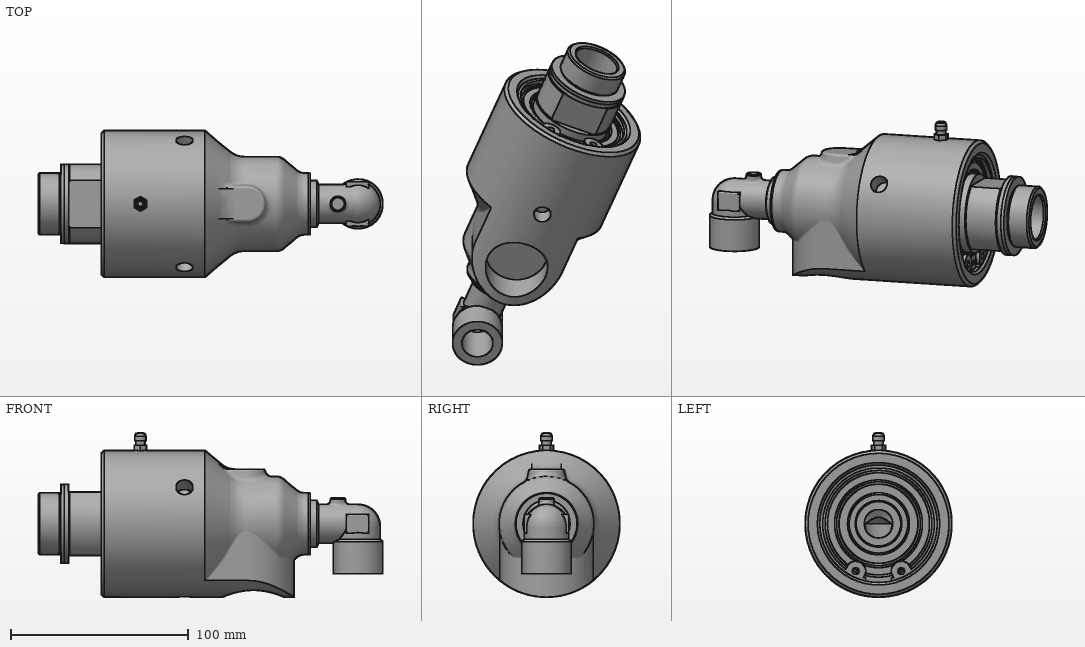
import cadquery as cq
import math


THREAD_D = 34.9
THREAD_END_X = 11.9
THREAD_CHAMFER = 1.0
NECK_D = 33.0
FLANGE_START_X = 12.9
FLANGE_STEP_X = 14.7
FLANGE_STEP_H = 0.1
SHAFT_D = 44.65
FLATS_START_X = 17.2
FLATS_END_X = 36.0
FLATS_WIDTH = 35.8
RELIEF_LENGTH = 0.6
RELIEF_DEPTH = 0.35
BORE_D = 16.0
SOCKET_D = 25.0
SOCKET_DEPTH = 30.0
SOCKET_CHAMFER = 0.6
SOCKET_CHAMFER_LENGTH = 1.0

BODY_R = 41.3
BODY_START_X = 35.4
BODY_CHAMFER = 1.7
BODY_END_X = 93.8
CONE_ANGLE = math.radians(40)
WAIST_R = 26.65
WAIST_END_X = 134.1
WAIST_BLEND_R = 12.5
SHOULDER_BLEND_R = 6.0
END_COLLAR_R = 17.5
END_COLLAR_X = 153.0
END_CHAMFER_LENGTH = 1.0
END_CHAMFER_HEIGHT = 0.35
STUB_R = 13.25
STUB_LENGTH = 3.6
STUB_CHAMFER_LENGTH = 1.1

CAVITY_R = 33.0
CAVITY_CHAMFER = 1.4
CAVITY_FLOOR_X = 39.3
SEAL_GAP_R = 24.7
SEAL_GAP_STEP_R = 23.6
SEAL_GAP_STEP_X = 40.0
SEAL_GAP_DEPTH = 1.5
FLOOR_GROOVE_INNER_R = 28.7
FLOOR_GROOVE_OUTER_R = 30.0
FLOOR_GROOVE_DEPTH = 0.5
RING_INNER_R = 31.4
RING_FRONT_X = 37.0
RING_GAP_WIDTH = 14.6
LUG_R = 5.6
LUG_Y = 12.8
LUG_Z = -26.6
LUG_HOLE_D = 3.72

PORT_X = 117.7
PORT_BOSS_R = 26.3
PORT_BOSS_START_X = 80.0
PORT_BOSS_FILLET = 1.2
PORT_HOLE_X = 121.0
PORT_HOLE_D = 34.9
PORT_HOLE_DEPTH = 20.0
PAD_TOP_Z = 30.75
PAD_HALF_WIDTH = 9.8
PAD_BASE_Z = 20.0
PAD_START_X = 96.0
PAD_FLAT_HALF_WIDTH = 8.4
PAD_RAMP_R = 11.0
PAD_DRAFT = 12.0
PAD_EDGE_FILLET = 1.5
PAD_BASE_FILLET = 3.6
RADIAL_HOLE_X = 82.3
RADIAL_HOLE_D = 9.5
RADIAL_HOLE_DEPTH = 11.0
RADIAL_HOLE_ANGLES = (30, 150, 270)

ELBOW_X = 179.86
TUBE_R = 11.0
ELBOW_R = 12.5
ELBOW_CENTER_Z = -1.5
OUTLET_R = 14.0
OUTLET_TOP_Z = -10.0
OUTLET_BOTTOM_Z = -28.1
OUTLET_CONE_HEIGHT = 1.3
OUTLET_BORE_D = 17.48
AXIAL_BORE_END_X = ELBOW_X - 5.0
DRILL_TIP_ANGLE = math.radians(59)
WRENCH_PAD_WIDTH = 12.6
WRENCH_PAD_HEIGHT = 10.5
WRENCH_PAD_Y = 12.55
WRENCH_PAD_FILLET = 0.6
PLUG_X = 168.5
PLUG_D = 8.6
PLUG_TOP_Z = 14.6
PLUG_CHAMFER = 0.7
PLUG_FOOT_FILLET = 2.1

NIPPLE_X = 57.5
NIPPLE_FOOT_Z = 38.0
HEX_WIDTH = 7.0
HEX_TOP_Z = 44.2
NIPPLE_NECK_D = 5.36
NIPPLE_HEAD_D = 6.5
NIPPLE_HEAD_Z = 46.6
NIPPLE_CROWN_Z = 49.2
NIPPLE_CROWN_TOP_Z = 50.8
NIPPLE_CROWN_TOP_D = 5.0
NIPPLE_TIP_D = 3.0
NIPPLE_TOP_Z = 51.29


def revolve_about_x(profile):
    """Full turn of an XY profile about the main axis."""
    return profile.close().revolve(360, (0, 0, 0), (1, 0, 0))


def cylinder_x(radius, start_x, end_x):
    """Solid cylinder on the main axis."""
    return cq.Workplane("YZ", origin=(start_x, 0, 0)).circle(radius).extrude(end_x - start_x)


def annulus_x(inner_radius, outer_radius, start_x, end_x):
    """Ring on the main axis."""
    outer = cylinder_x(outer_radius, start_x, end_x)
    return outer.cut(cylinder_x(inner_radius, start_x, end_x))


def cone_arc_offsets(blend_radius):
    """Axial and radial extent of an arc that turns from axial to the cone angle, and its midpoint."""
    half = CONE_ANGLE / 2
    full_run = blend_radius * math.sin(CONE_ANGLE)
    full_drop = blend_radius * (1 - math.cos(CONE_ANGLE))
    half_run = blend_radius * math.sin(half)
    half_drop = blend_radius * (1 - math.cos(half))
    return full_run, full_drop, half_run, half_drop


def make_shaft():
    """Rotor shaft with its threaded end, flange and two wrench flats between shallow reliefs."""
    thread_r = THREAD_D / 2
    neck_r = NECK_D / 2
    shaft_r = SHAFT_D / 2
    shaft = revolve_about_x(
        cq.Workplane("XY")
        .moveTo(0, 0)
        .lineTo(0, thread_r - THREAD_CHAMFER)
        .lineTo(THREAD_CHAMFER, thread_r)
        .lineTo(THREAD_END_X, thread_r)
        .lineTo(THREAD_END_X, neck_r)
        .lineTo(FLANGE_START_X, neck_r)
        .lineTo(FLANGE_START_X, shaft_r - FLANGE_STEP_H)
        .lineTo(FLANGE_STEP_X, shaft_r - FLANGE_STEP_H)
        .lineTo(FLANGE_STEP_X, shaft_r)
        .lineTo(BODY_END_X, shaft_r)
        .lineTo(BODY_END_X, 0)
    )
    for relief_x in (FLATS_START_X, FLATS_END_X - RELIEF_LENGTH):
        relief = annulus_x(shaft_r - RELIEF_DEPTH, SHAFT_D, relief_x, relief_x + RELIEF_LENGTH)
        shaft = shaft.cut(relief)
    flat_depth = shaft_r - FLATS_WIDTH / 2
    for side in (1, -1):
        flat_cut = cq.Workplane("XY").box(
            FLATS_END_X - FLATS_START_X, SHAFT_D, 2 * flat_depth
        ).translate(((FLATS_START_X + FLATS_END_X) / 2, 0, side * shaft_r))
        shaft = shaft.cut(flat_cut)
    return shaft


def make_housing():
    """Turned housing from the front face to the stub that carries the elbow."""
    run_1, drop_1, half_run_1, half_drop_1 = cone_arc_offsets(WAIST_BLEND_R)
    run_2, drop_2, half_run_2, half_drop_2 = cone_arc_offsets(SHOULDER_BLEND_R)
    slope = math.tan(CONE_ANGLE)
    cone_end_x = BODY_END_X + (BODY_R - WAIST_R - drop_1) / slope
    waist_start_x = cone_end_x + run_1
    shoulder_x = WAIST_END_X + run_2
    shoulder_r = WAIST_R - drop_2
    foot_r = END_COLLAR_R + drop_2
    foot_x = shoulder_x + (shoulder_r - foot_r) / slope
    collar_start_x = foot_x + run_2
    stub_end_x = END_COLLAR_X + STUB_LENGTH
    return revolve_about_x(
        cq.Workplane("XY")
        .moveTo(BODY_START_X, 0)
        .lineTo(BODY_START_X, BODY_R - BODY_CHAMFER)
        .lineTo(BODY_START_X + BODY_CHAMFER, BODY_R)
        .lineTo(BODY_END_X, BODY_R)
        .lineTo(cone_end_x, WAIST_R + drop_1)
        .threePointArc(
            (waist_start_x - half_run_1, WAIST_R + half_drop_1), (waist_start_x, WAIST_R)
        )
        .lineTo(WAIST_END_X, WAIST_R)
        .threePointArc(
            (WAIST_END_X + half_run_2, WAIST_R - half_drop_2), (shoulder_x, shoulder_r)
        )
        .lineTo(foot_x, foot_r)
        .threePointArc(
            (collar_start_x - half_run_2, END_COLLAR_R + half_drop_2),
            (collar_start_x, END_COLLAR_R),
        )
        .lineTo(END_COLLAR_X - END_CHAMFER_LENGTH, END_COLLAR_R)
        .lineTo(END_COLLAR_X, END_COLLAR_R - END_CHAMFER_HEIGHT)
        .lineTo(END_COLLAR_X, STUB_R)
        .lineTo(stub_end_x, STUB_R)
        .lineTo(stub_end_x + STUB_CHAMFER_LENGTH, TUBE_R)
        .lineTo(stub_end_x + STUB_CHAMFER_LENGTH, 0)
    )


def u_outline(workplane, start_x, center_x, half_width):
    """U-shaped outline, open side toward -X and closed by a straight edge."""
    return (
        workplane.moveTo(start_x, -half_width)
        .lineTo(center_x, -half_width)
        .threePointArc((center_x + half_width, 0), (center_x, half_width))
        .lineTo(start_x, half_width)
        .close()
    )


def make_port_boss():
    """Upright U-shaped boss under the waist, trimmed to the body diameter."""
    base = cq.Workplane("XY", origin=(0, 0, -BODY_R))
    boss = u_outline(base, PORT_BOSS_START_X, PORT_X, PORT_BOSS_R).extrude(BODY_R)
    boss_end_x = PORT_X + PORT_BOSS_R
    return boss.intersect(cylinder_x(BODY_R, PORT_BOSS_START_X, boss_end_x))


def blend_port_boss(body):
    """Fillet where the sides of the port boss meet the waist."""
    foot = cq.selectors.BoxSelector(
        (BODY_END_X, -BODY_R, -BODY_R / 2), (PORT_X + PORT_BOSS_R, BODY_R, -PORT_BOSS_FILLET)
    )
    return body.edges(foot).edges("not(%CIRCLE or |Z)").fillet(PORT_BOSS_FILLET)


def make_top_pad():
    """Drafted U-shaped pad with a flat top and sharp edges, ending inside the housing cone."""
    height = PAD_TOP_Z - PAD_BASE_Z
    base_half_width = PAD_HALF_WIDTH + height * math.tan(math.radians(PAD_DRAFT))
    base = cq.Workplane("XY", origin=(0, 0, PAD_BASE_Z))
    return u_outline(base, PAD_START_X, PORT_X, base_half_width).extrude(height, taper=PAD_DRAFT)


def make_pad_ramp(body):
    """Concave ramp that carries the flat of the pad up onto the housing cone."""
    sharp = body.union(make_top_pad())
    heel = cq.selectors.BoxSelector(
        (PAD_START_X, -PAD_HALF_WIDTH, PAD_TOP_Z - 0.1), (PORT_X - 5, PAD_HALF_WIDTH, PAD_TOP_Z + 0.1)
    )
    blended = sharp.edges(heel).edges("not(|X)").fillet(PAD_RAMP_R)
    ramp_width = 2 * PAD_FLAT_HALF_WIDTH
    limits = cq.Workplane("XY", origin=(PAD_START_X, 0, PAD_TOP_Z)).box(
        PORT_X - PAD_START_X, ramp_width, ramp_width, centered=(False, True, True)
    )
    return blended.cut(sharp).intersect(limits)


def add_top_pad(body):
    """Pad with a rounded rim, filleted foot and ramp."""
    pad = make_top_pad().faces(">Z").edges("not(<X)").fillet(PAD_EDGE_FILLET)
    padded = body.union(pad)
    foot_y = PAD_HALF_WIDTH + PAD_BASE_FILLET
    foot = cq.selectors.BoxSelector(
        (PAD_START_X, -foot_y, PAD_BASE_Z), (WAIST_END_X, foot_y, PAD_TOP_Z - PAD_EDGE_FILLET)
    )
    padded = padded.edges(foot).edges("%BSPLINE or %HYPERBOLA").fillet(PAD_BASE_FILLET)
    return padded.union(make_pad_ramp(body))


def cut_cavity(housing_blank):
    """Recess in the front face around the shaft, with the floor details around the seal."""
    cavity = revolve_about_x(
        cq.Workplane("XY")
        .moveTo(BODY_START_X, 0)
        .lineTo(BODY_START_X, CAVITY_R + CAVITY_CHAMFER)
        .lineTo(BODY_START_X + CAVITY_CHAMFER, CAVITY_R)
        .lineTo(CAVITY_FLOOR_X, CAVITY_R)
        .lineTo(CAVITY_FLOOR_X, FLOOR_GROOVE_OUTER_R)
        .lineTo(CAVITY_FLOOR_X + FLOOR_GROOVE_DEPTH, FLOOR_GROOVE_OUTER_R)
        .lineTo(CAVITY_FLOOR_X + FLOOR_GROOVE_DEPTH, FLOOR_GROOVE_INNER_R)
        .lineTo(CAVITY_FLOOR_X, FLOOR_GROOVE_INNER_R)
        .lineTo(CAVITY_FLOOR_X, SEAL_GAP_R)
        .lineTo(SEAL_GAP_STEP_X, SEAL_GAP_R)
        .lineTo(SEAL_GAP_STEP_X, SEAL_GAP_STEP_R)
        .lineTo(CAVITY_FLOOR_X + SEAL_GAP_DEPTH, SEAL_GAP_STEP_R)
        .lineTo(CAVITY_FLOOR_X + SEAL_GAP_DEPTH, 0)
    )
    return housing_blank.cut(cavity)


def make_retaining_ring():
    """Open retaining ring seated on the cavity floor, with a drilled lug at each end."""
    thickness = CAVITY_FLOOR_X - RING_FRONT_X
    lug_centers = [(LUG_Y, LUG_Z), (-LUG_Y, LUG_Z)]
    front = cq.Workplane("YZ", origin=(RING_FRONT_X, 0, 0))
    ring = annulus_x(RING_INNER_R, CAVITY_R, RING_FRONT_X, CAVITY_FLOOR_X)
    lugs = front.pushPoints(lug_centers).circle(LUG_R).extrude(thickness)
    ring = ring.union(lugs.intersect(cylinder_x(CAVITY_R, RING_FRONT_X, CAVITY_FLOOR_X)))
    gap = front.center(0, -CAVITY_R).rect(RING_GAP_WIDTH, CAVITY_R).extrude(thickness)
    holes = front.pushPoints(lug_centers).circle(LUG_HOLE_D / 2).extrude(thickness)
    return ring.cut(gap).cut(holes)


def make_radial_hole(angle):
    """Blind hole drilled toward the main axis; the angle is measured from +Y toward +Z."""
    hole = (
        cq.Workplane("XZ", origin=(RADIAL_HOLE_X, BODY_R, 0))
        .circle(RADIAL_HOLE_D / 2)
        .extrude(RADIAL_HOLE_DEPTH)
    )
    return hole.rotate((0, 0, 0), (1, 0, 0), angle)


def make_port_hole():
    """Blind port opening in the underside of the port boss."""
    return (
        cq.Workplane("XY", origin=(PORT_HOLE_X, 0, -BODY_R))
        .circle(PORT_HOLE_D / 2)
        .extrude(PORT_HOLE_DEPTH)
    )


def make_elbow():
    """Tube, ball corner and downward outlet, with wrench pads and a plug on the tube."""
    elbow = cylinder_x(TUBE_R, END_COLLAR_X, ELBOW_X)
    outlet = (
        cq.Workplane("XZ", origin=(ELBOW_X, 0, 0))
        .moveTo(0, OUTLET_BOTTOM_Z)
        .lineTo(OUTLET_R, OUTLET_BOTTOM_Z)
        .lineTo(OUTLET_R, OUTLET_TOP_Z)
        .lineTo(ELBOW_R, OUTLET_TOP_Z + OUTLET_CONE_HEIGHT)
        .lineTo(ELBOW_R, ELBOW_CENTER_Z)
        .radiusArc((0, ELBOW_CENTER_Z + ELBOW_R), -ELBOW_R)
        .close()
        .revolve(360, (0, 0, 0), (0, 1, 0))
    )
    wrench_pads = (
        cq.Workplane("XY", origin=(ELBOW_X - 0.4, 0, 0))
        .box(WRENCH_PAD_WIDTH, 2 * WRENCH_PAD_Y, WRENCH_PAD_HEIGHT)
        .faces("<Y or >Y")
        .edges()
        .fillet(WRENCH_PAD_FILLET)
    )
    plug = (
        cq.Workplane("XY", origin=(PLUG_X, 0, 0))
        .circle(PLUG_D / 2)
        .extrude(PLUG_TOP_Z)
        .faces(">Z")
        .chamfer(PLUG_CHAMFER)
    )
    elbow = elbow.union(plug)
    foot = cq.selectors.BoxSelector(
        (PLUG_X - PLUG_D, -PLUG_D, TUBE_R - 2), (PLUG_X + PLUG_D, PLUG_D, TUBE_R + 0.1)
    )
    elbow = elbow.edges(foot).fillet(PLUG_FOOT_FILLET)
    return elbow.union(outlet).union(wrench_pads)


def make_axial_bore():
    """Shaft socket and long axial bore with a drill tip."""
    bore_r = BORE_D / 2
    socket_r = SOCKET_D / 2
    return revolve_about_x(
        cq.Workplane("XY")
        .moveTo(0, 0)
        .lineTo(0, socket_r + SOCKET_CHAMFER)
        .lineTo(SOCKET_CHAMFER_LENGTH, socket_r)
        .lineTo(SOCKET_DEPTH, socket_r)
        .lineTo(SOCKET_DEPTH, bore_r)
        .lineTo(AXIAL_BORE_END_X, bore_r)
        .lineTo(AXIAL_BORE_END_X + bore_r / math.tan(DRILL_TIP_ANGLE), 0)
    )


def make_outlet_bore():
    """Upward bore of the outlet with a drill tip."""
    outlet_r = OUTLET_BORE_D / 2
    return (
        cq.Workplane("XZ", origin=(ELBOW_X, 0, 0))
        .moveTo(0, OUTLET_BOTTOM_Z)
        .lineTo(outlet_r, OUTLET_BOTTOM_Z)
        .lineTo(outlet_r, 0)
        .lineTo(0, outlet_r / math.tan(DRILL_TIP_ANGLE))
        .close()
        .revolve(360, (0, 0, 0), (0, 1, 0))
    )


def make_grease_nipple():
    """Hexagon foot with a necked, crowned head on top of the body."""
    hexagon = (
        cq.Workplane("XY", origin=(NIPPLE_X, 0, NIPPLE_FOOT_Z))
        .polygon(6, HEX_WIDTH, circumscribed=True)
        .extrude(HEX_TOP_Z - NIPPLE_FOOT_Z)
    )
    head = (
        cq.Workplane("XZ", origin=(NIPPLE_X, 0, 0))
        .moveTo(0, NIPPLE_FOOT_Z)
        .lineTo(NIPPLE_NECK_D / 2, NIPPLE_FOOT_Z)
        .lineTo(NIPPLE_NECK_D / 2, NIPPLE_HEAD_Z)
        .lineTo(NIPPLE_HEAD_D / 2, NIPPLE_HEAD_Z)
        .lineTo(NIPPLE_HEAD_D / 2, NIPPLE_CROWN_Z)
        .lineTo(NIPPLE_CROWN_TOP_D / 2, NIPPLE_CROWN_TOP_Z)
        .lineTo(NIPPLE_TIP_D / 2, NIPPLE_CROWN_TOP_Z)
        .lineTo(NIPPLE_TIP_D / 2, NIPPLE_TOP_Z)
        .lineTo(0, NIPPLE_TOP_Z)
        .close()
        .revolve(360, (0, 0, 0), (0, 1, 0))
    )
    return hexagon.union(head)


housing = add_top_pad(blend_port_boss(make_housing().union(make_port_boss())))
housing = cut_cavity(housing).union(make_retaining_ring())
for hole_angle in RADIAL_HOLE_ANGLES:
    housing = housing.cut(make_radial_hole(hole_angle))
housing = housing.cut(make_port_hole())
result = housing.union(make_shaft()).union(make_elbow()).union(make_grease_nipple())
result = result.cut(make_axial_bore()).cut(make_outlet_bore())